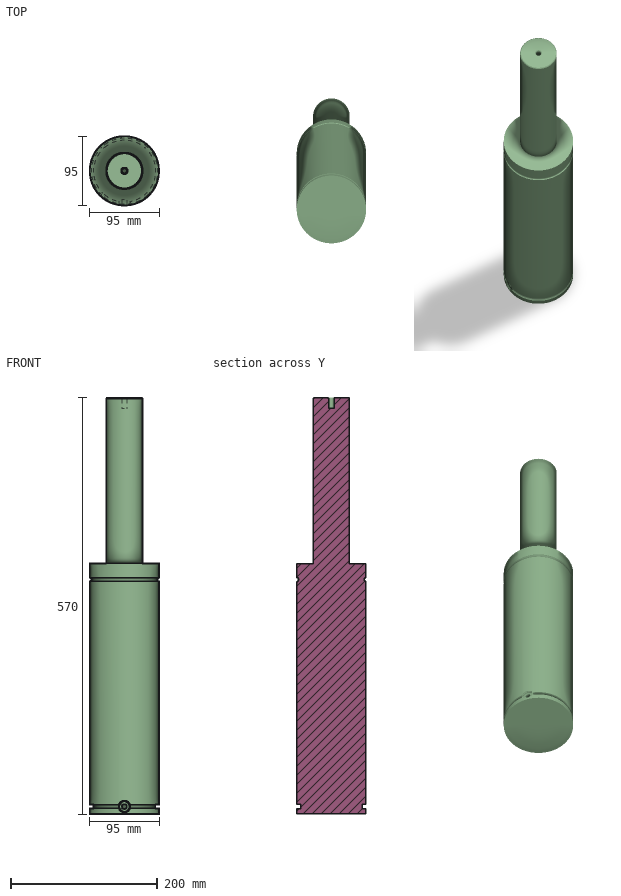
import cadquery as cq

total_height = 570.0
body_diameter = 95.0
body_height = 343.0
rod_diameter = 50.0
rod_chamfer = 1.0

groove_width = 5.0
lower_groove_z = 10.0
lower_groove_depth = 5.0
upper_groove_z = body_height - 22.0
upper_groove_depth = 2.0

rod_hole_diameter = 7.0
rod_hole_depth = 14.0
rod_hole_mouth_diameter = 9.0
rod_hole_mouth_angle = 90

port_diameter = 16.0
port_face_depth = 1.0
port_recess_diameter = 14.0
port_recess_depth = 2.0
port_hole_diameter = 7.0
port_hole_depth = 8.5
port_inner_length = 11.5

body_radius = body_diameter / 2


def square_groove(center_z, depth):
    """Ring that cuts a rectangular groove into the body."""
    return (
        cq.Workplane("XY", origin=(0, 0, center_z - groove_width / 2))
        .circle(body_radius + depth)
        .circle(body_radius - depth)
        .extrude(groove_width)
    )


def round_groove(center_z, depth):
    """Ring that cuts a groove with an arc-shaped bottom into the body."""
    half_width = groove_width / 2
    return (
        cq.Workplane("XZ")
        .moveTo(body_radius, center_z - half_width)
        .threePointArc((body_radius - depth, center_z), (body_radius, center_z + half_width))
        .lineTo(body_radius + depth, center_z + half_width)
        .lineTo(body_radius + depth, center_z - half_width)
        .close()
        .revolve(360, (0, 0, 0), (0, 1, 0))
    )


def port_cylinder(diameter, length):
    """Cylinder running inward along +Y from the outermost point of the body."""
    return (
        cq.Workplane("XZ", origin=(0, -body_radius, lower_groove_z))
        .circle(diameter / 2)
        .extrude(-length)
    )


envelope = cq.Workplane("XY").circle(body_radius).extrude(body_height)
body = envelope.cut(square_groove(lower_groove_z, lower_groove_depth))
body = body.cut(round_groove(upper_groove_z, upper_groove_depth))

port_boss = port_cylinder(port_diameter, port_inner_length).intersect(envelope)
body = body.union(port_boss)
body = body.cut(port_cylinder(port_diameter, port_face_depth))
body = body.cut(port_cylinder(port_recess_diameter, port_recess_depth))
body = body.cut(port_cylinder(port_hole_diameter, port_hole_depth))

rod = (
    cq.Workplane("XY", origin=(0, 0, body_height))
    .circle(rod_diameter / 2)
    .extrude(total_height - body_height)
    .faces(">Z")
    .chamfer(rod_chamfer)
    .faces(">Z")
    .workplane()
    .cskHole(rod_hole_diameter, rod_hole_mouth_diameter, rod_hole_mouth_angle, rod_hole_depth)
)

result = body.union(rod)